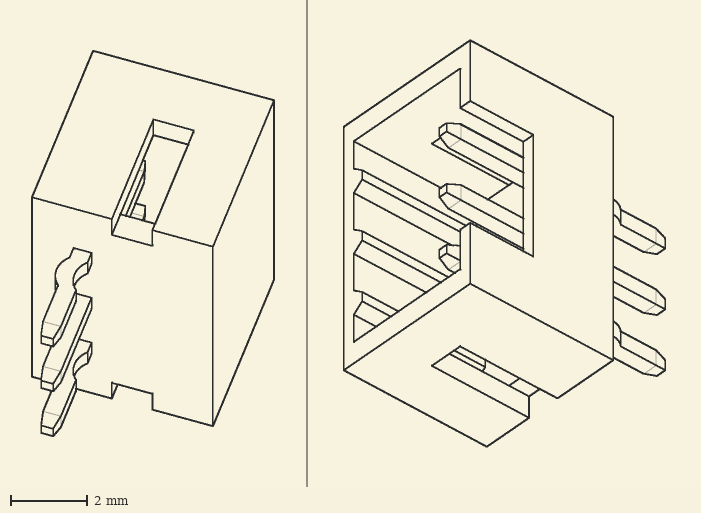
import cadquery as cq

width = 5.0
depth = 5.0
height = 8.0
floor = 0.7
side_wall = 0.4
end_wall = 0.7
cavity_x_min = -width / 2 + side_wall
cavity_x_max = width / 2 - side_wall
overlap = 0.08

window_height = 4.0
window_depth = 2.21

slot_x_min = -width / 2 + 2.21
slot_width = 1.12
slot_recess = 1.6

pin_pitch = 2.0
pin_positions = (-pin_pitch, 0.0, pin_pitch)
pin_size = 0.5
pin_x = -width / 2 + 1.4
pin_tail = 2.9
pin_recess = 0.29
tail_tip_size = 0.34
contact_tip_size = 0.28
tip_length = 0.4

bend_offset = 0.2
bend_chord = 0.94
bend_center = -0.8

rib_base = 0.8
rib_crest = 0.3
rib_rise = 0.34


def block(x_min, x_max, y_min, y_max, z_min, z_max):
    """Box given by its limits along the three axes."""
    size = (x_max - x_min, y_max - y_min, z_max - z_min)
    return cq.Workplane("XY").box(*size, centered=False).translate((x_min, y_min, z_min))


def make_housing():
    body = block(-width / 2, width / 2, 0, depth, -height / 2, height / 2)
    cavity_z = height / 2 - end_wall
    body = body.cut(block(cavity_x_min, cavity_x_max, floor, depth, -cavity_z, cavity_z))
    window = block(-width / 2, cavity_x_min, depth - window_depth, depth, -window_height / 2, window_height / 2)
    body = body.cut(window)
    slot_x_max = slot_x_min + slot_width
    slot_y_max = depth - slot_recess
    for z_min in (-height / 2, height / 2 - end_wall):
        body = body.cut(block(slot_x_min, slot_x_max, 0, slot_y_max, z_min, z_min + end_wall))
    return body


def make_rib(z):
    """Trapezoidal rib running from the cavity floor to the open face."""
    crest_x = cavity_x_max - rib_rise
    outline = [
        (cavity_x_max + overlap, z - rib_base / 2),
        (cavity_x_max, z - rib_base / 2),
        (crest_x, z - rib_crest / 2),
        (crest_x, z + rib_crest / 2),
        (cavity_x_max, z + rib_base / 2),
        (cavity_x_max + overlap, z + rib_base / 2),
    ]
    rib = cq.Workplane("XZ").polyline(outline).close().extrude(-(depth - floor + overlap))
    return rib.translate((0, floor - overlap, 0))


def make_tip(z, y_base, y_end, tip_size):
    """Tapered end of a pin, narrowing from y_base to y_end."""
    base = cq.Workplane("XZ", origin=(pin_x, y_base, z)).rect(pin_size, pin_size)
    return base.workplane(offset=y_base - y_end).rect(tip_size, tip_size).loft(ruled=True)


def make_pin(z, bent):
    x_left = pin_x - pin_size / 2
    x_right = pin_x + pin_size / 2
    y_low = -pin_tail + tip_length
    y_high = depth - pin_recess - tip_length
    bend_low = bend_center - bend_chord / 2
    bend_high = bend_center + bend_chord / 2
    shaft = cq.Workplane("XY", origin=(0, 0, z - pin_size / 2)).moveTo(x_left, y_low)
    if bent:
        shaft = shaft.lineTo(x_left, bend_low)
        shaft = shaft.threePointArc((x_left - bend_offset, bend_center), (x_left, bend_high))
    shaft = shaft.lineTo(x_left, y_high).lineTo(x_right, y_high)
    if bent:
        shaft = shaft.lineTo(x_right, bend_high)
        shaft = shaft.threePointArc((x_right - bend_offset, bend_center), (x_right, bend_low))
    shaft = shaft.lineTo(x_right, y_low).close().extrude(pin_size)
    tail_tip = make_tip(z, y_low, -pin_tail, tail_tip_size)
    contact_tip = make_tip(z, y_high, depth - pin_recess, contact_tip_size)
    return shaft.union(tail_tip).union(contact_tip)


result = make_housing()
for pin_z in pin_positions:
    result = result.union(make_rib(pin_z))
    result = result.union(make_pin(pin_z, bent=pin_z != 0))